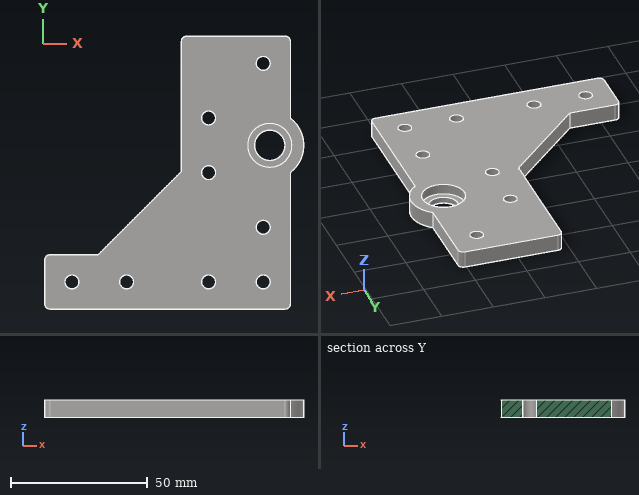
import cadquery as cq

plate_width = 90.0
plate_length = 100.0
thickness = 6.5
foot_depth = 20.0
upright_left = 50.0
gusset_run = 30.4
corner_radius = 2.0

bearing_x = 82.4
bearing_y = 60.0
lobe_radius = 12.5
seat_diameter = 16.1
seat_depth = 4.0
bore_diameter = 11.0

pitch = 10.0
screw_diameter = 5.0
screw_grid = [(1, 1), (3, 1), (6, 1), (8, 1), (8, 3), (6, 5), (6, 7), (8, 9)]


def make_plate():
    """L-shaped plate with a gusset in the inner corner and rounded outer corners."""
    outline = [
        (0, 0),
        (plate_width, 0),
        (plate_width, plate_length),
        (upright_left, plate_length),
        (upright_left, foot_depth + gusset_run),
        (upright_left - gusset_run, foot_depth),
        (0, foot_depth),
    ]
    outer_corners = [outline[i] for i in (0, 1, 2, 3, 6)]
    plate = cq.Workplane("XY").polyline(outline).close().extrude(thickness)
    for corner in outer_corners:
        nearest = cq.selectors.NearestToPointSelector((*corner, thickness / 2))
        plate = plate.edges("|Z").edges(nearest).fillet(corner_radius)
    return plate


def disc(diameter, height, base_z=0.0):
    """Cylinder on the bearing axis."""
    return (
        cq.Workplane("XY", origin=(bearing_x, bearing_y, base_z))
        .circle(diameter / 2)
        .extrude(height)
    )


def screw_holes():
    centres = [(column * pitch, row * pitch) for column, row in screw_grid]
    return cq.Workplane("XY").pushPoints(centres).circle(screw_diameter / 2).extrude(thickness)


result = (
    make_plate()
    .union(disc(2 * lobe_radius, thickness))
    .cut(disc(bore_diameter, thickness))
    .cut(disc(seat_diameter, seat_depth, thickness - seat_depth))
    .cut(screw_holes())
)